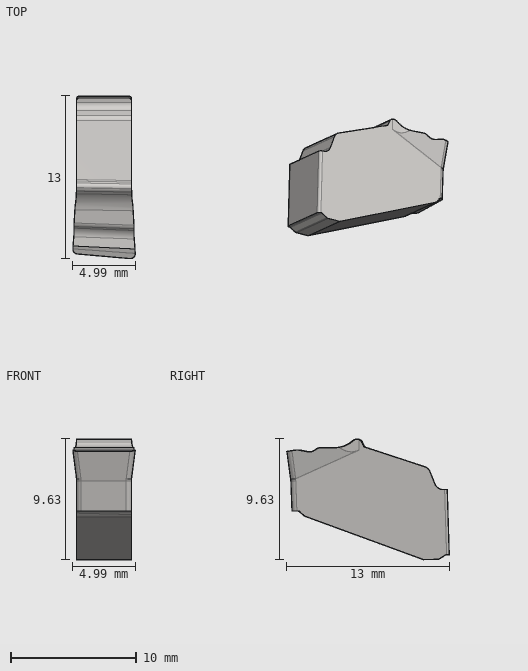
import cadquery as cq
import math

body_width = 4.4
body_half = body_width / 2
reach = 20
blank_half = 2.8
front_lead = 5.0

flare_start_z = 8.75
flare_angle = 7.75
flare_runout_radius = 10.8

front_corner_radius = 0.4
rear_corner_radius = 0.22

break_y = -5.29
break_z = 6.27

rear_end = [
    (6.94, 0.39, 0.20, 0),
    (7.21, 0.39, 0, 0),
    (7.05, 5.61, 0, 0),
]
top_back = [
    (6.24, 5.60, 0.69, 0),
    (5.55, 7.33, 0.67, 0),
]
ridge = [
    (0.43, 9.00, 0.20, 1.0),
    (0.125, 9.63, 0.41, 1.0),
    (-0.30, 9.63, 0.41, 1.0),
]
chip_former = [
    (-1.19, 8.95, 2.10, 1.1),
    (-3.16, 8.95, 0.50, 2.1),
    (-3.73, 8.55, 0.90, 2.2),
]
cutting_land = [
    (-4.87, 8.77, 0, 2.8),
    (-5.16, 8.72, 0, 4.2),
    (-5.585, 8.65, 0, front_lead),
]
front_relief = [
    (break_y, break_z, 0, front_lead),
    (-5.20, 3.87, 0, front_lead),
]
underside = [
    (-4.72, 3.87, 0.15, 2.0),
    (-4.38, 3.486, 0.85, 0),
    (5.14, 0.0, 0, 0),
    (6.35, 0.03, 0.20, 0),
]
profile = rear_end + top_back + ridge + chip_former + cutting_land + front_relief + underside


def lead_shift(x, angle):
    """Y offset at width position x of a line turned by the lead angle."""
    return -x * math.tan(math.radians(angle))


def profile_wire(x):
    """Closed side profile with rounded corners in the plane at width position x."""
    corners = [(cq.Vector(x, y + lead_shift(x, lead), z), radius) for y, z, radius, lead in profile]
    starts = []
    ends = []
    middles = []
    for i, (corner, radius) in enumerate(corners):
        to_previous = (corners[i - 1][0] - corner).normalized()
        to_next = (corners[(i + 1) % len(corners)][0] - corner).normalized()
        half_angle = to_previous.getAngle(to_next) / 2
        tangent_length = radius / math.tan(half_angle)
        apex_distance = radius / math.sin(half_angle) - radius
        starts.append(corner + to_previous * tangent_length)
        ends.append(corner + to_next * tangent_length)
        middles.append(corner + (to_previous + to_next).normalized() * apex_distance)

    edges = []
    for i, (_, radius) in enumerate(corners):
        edges.append(cq.Edge.makeLine(ends[i - 1], starts[i]))
        if radius > 0:
            edges.append(cq.Edge.makeThreePointArc(starts[i], middles[i], ends[i]))
    return cq.Wire.assembleEdges(edges)


def make_blank():
    """Full-width block ruled between the two end profiles."""
    wires = [profile_wire(-blank_half), profile_wire(blank_half)]
    return cq.Workplane(obj=cq.Solid.makeLoft(wires, True))


def block(x_size, y_min, y_max):
    """Box centred on X, covering the whole height of the part."""
    return (
        cq.Workplane()
        .box(x_size, y_max - y_min, 2 * reach)
        .translate((0, (y_min + y_max) / 2, 0))
    )


def make_flare(blank, side):
    """Flared part of the head on one side (-1 = left, +1 = right)."""
    inner_overlap = 0.5
    corner_y = break_y + lead_shift(side * body_half, front_lead)
    slope = math.atan2(flare_start_z - break_z, -corner_y)
    along = (0, -math.cos(slope), -math.sin(slope))
    upward = (0, -math.sin(slope), math.cos(slope))
    lean = reach * math.tan(math.radians(flare_angle))
    boundary = cq.Plane(origin=(side * body_half, 0, flare_start_z), xDir=upward, normal=along)
    wedge = (
        cq.Workplane(boundary)
        .moveTo(0, 0)
        .lineTo(reach, -side * lean)
        .lineTo(reach, side * inner_overlap)
        .lineTo(0, side * inner_overlap)
        .close()
        .extrude(reach, both=True)
    )
    hollow = (
        cq.Workplane()
        .center(side * (body_half + flare_runout_radius), 0)
        .circle(flare_runout_radius)
        .extrude(reach)
    )
    return blank.intersect(wedge).intersect(block(reach, -reach, 0)).cut(hollow)


def round_corners(part):
    """Round the upright corner edges of the rear end and of the two front reliefs."""
    rear_limit = 7.0
    front_limit = -4.9
    side_limit = 1.9
    shortest_upright = 1.0
    upright_edges = [
        edge
        for edge in part.edges().vals()
        if abs(edge.Center().x) > side_limit and edge.BoundingBox().zlen > shortest_upright
    ]
    rear_edges = [edge for edge in upright_edges if edge.Center().y > rear_limit]
    front_edges = [edge for edge in upright_edges if edge.Center().y < front_limit]
    part = part.newObject(rear_edges).fillet(rear_corner_radius)
    return part.newObject(front_edges).fillet(front_corner_radius)


blank = make_blank()
shank = blank.intersect(block(body_width, -reach, reach))
head = shank.union(make_flare(blank, -1)).union(make_flare(blank, 1))
result = round_corners(head)